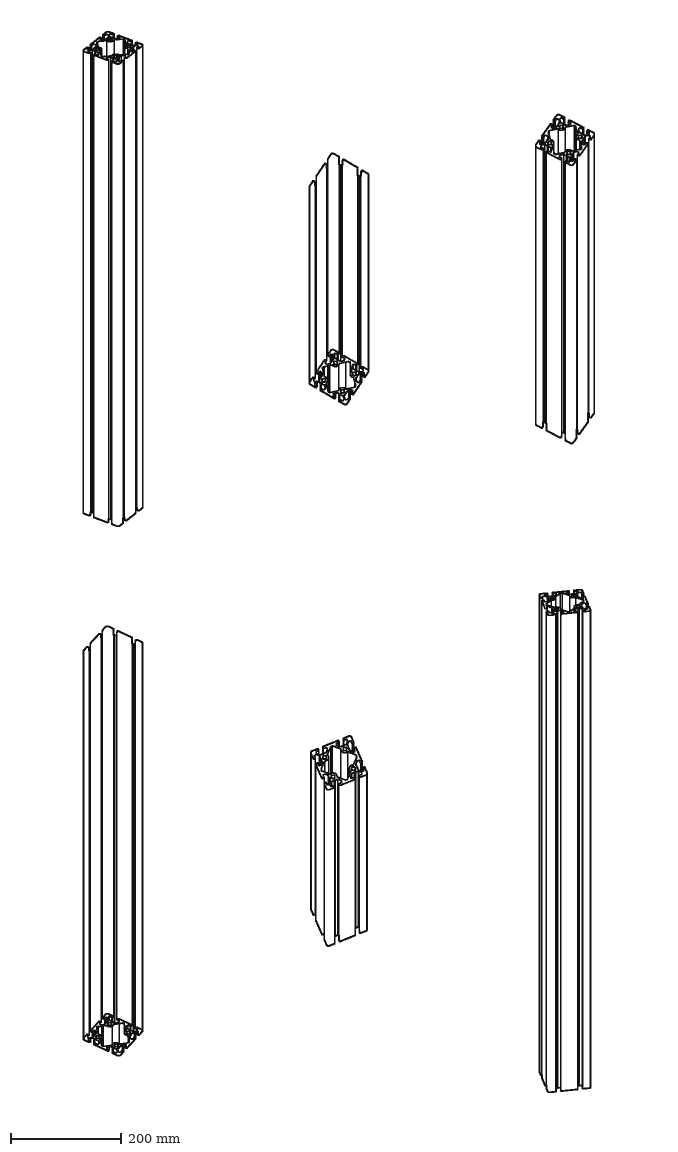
import cadquery as cq

side = 80.0
length = 1000.0
corner_radius = 4.0
half_side = side / 2

slot_offset = 20.0
opening_width = 9.0
lip_radius = 1.0
lip_thickness = 4.0
slot_width = 21.0
slot_inner_depth = 8.6
slot_floor_chamfer = 4.2
slot_corner_radius = 1.5

groove_width = 2.1

channel_diameter = 6.8
channel_wall = 3.8

outer_wall = 5.5
cavity_end_half_width = 1.7


def bar():
    """Square bar with rounded long edges."""
    return cq.Workplane("XY").rect(side, side).extrude(length).edges("|Z").fillet(corner_radius)


def slot():
    """T-slot cutter for the +Y face, with rounded lips and a 90 degree groove in its floor."""
    lip_underside = half_side - lip_thickness
    floor = lip_underside - slot_inner_depth

    inner_space = (
        cq.Workplane("XY")
        .center(slot_offset, (lip_underside + floor) / 2)
        .rect(slot_width, slot_inner_depth)
        .extrude(length)
        .edges("|Z")
        .edges("<Y")
        .chamfer(slot_floor_chamfer)
        .edges("|Z and (not <Y)")
        .fillet(slot_corner_radius)
    )

    groove = (
        cq.Workplane("XY")
        .center(slot_offset, 0)
        .moveTo(-groove_width / 2, floor)
        .lineTo(0, floor - groove_width / 2)
        .lineTo(groove_width / 2, floor)
        .close()
        .extrude(length)
    )

    opening_half = opening_width / 2
    mouth_half = opening_half + lip_radius
    arc_start = half_side - lip_radius
    opening = (
        cq.Workplane("XY")
        .center(slot_offset, 0)
        .moveTo(-opening_half, lip_underside)
        .lineTo(-opening_half, arc_start)
        .radiusArc((-mouth_half, half_side), -lip_radius)
        .lineTo(mouth_half, half_side)
        .radiusArc((opening_half, arc_start), -lip_radius)
        .lineTo(opening_half, lip_underside)
        .close()
        .extrude(length)
    )
    return inner_space.union(groove).union(opening)


def channel_rods(diameter):
    """Four full-length round rods on the screw channel axes."""
    spacing = 2 * slot_offset
    return (
        cq.Workplane("XY")
        .rect(spacing, spacing, forConstruction=True)
        .vertices()
        .circle(diameter / 2)
        .extrude(length)
    )


def cavity():
    """Central cavity: a square on its corner, with blunted corners and room for the channel walls."""
    end = half_side - outer_wall
    blunt = cavity_end_half_width
    outline = [
        (blunt, end),
        (-blunt, end),
        (-end, blunt),
        (-end, -blunt),
        (-blunt, -end),
        (blunt, -end),
        (end, -blunt),
        (end, blunt),
    ]
    space = cq.Workplane("XY").polyline(outline).close().extrude(length)
    return space.cut(channel_rods(channel_diameter + 2 * channel_wall))


def quarter_turns(cutter):
    """Four copies of a cutter, turned about the bar's axis and joined."""
    joined = cutter
    for turn in range(1, 4):
        joined = joined.union(cutter.rotate((0, 0, 0), (0, 0, 1), 90 * turn))
    return joined.clean()


slot_pair = slot().union(slot().mirror("YZ"))

result = (
    bar()
    .cut(quarter_turns(slot_pair))
    .cut(cavity())
    .cut(channel_rods(channel_diameter))
    .clean()
)